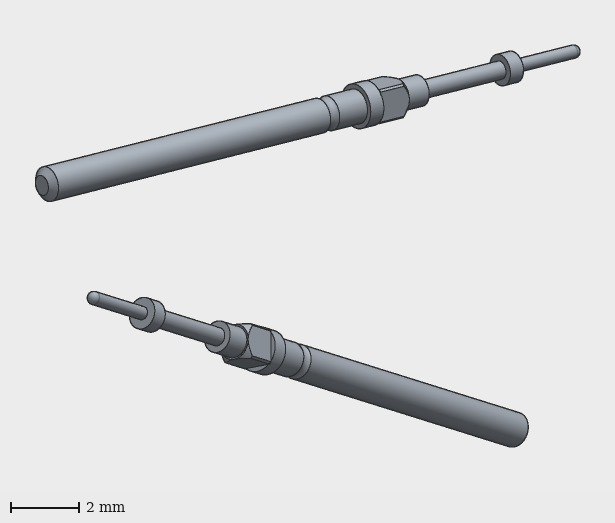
import cadquery as cq

overall_length = 20.5

groove_centre = 10.765
groove_width = 0.35
collar_start = 12.0
collar_length = 0.5
square_length = 1.1
neck_length = 0.8
ring_start = 17.5
ring_length = 0.5

barrel_radius = 1.05 / 2
groove_radius = 0.93 / 2
collar_radius = 1.35 / 2
neck_radius = 0.95 / 2
shaft_radius = 0.55 / 2
ring_radius = 0.95 / 2
tip_radius = 0.4 / 2

square_across_flats = 1.05
square_corner_radius = 1.4 / 2
square_lead_in = 0.2

tail_taper = 0.2
tail_face_radius = 0.3

collar_end = collar_start + collar_length
square_end = collar_end + square_length
neck_end = square_end + neck_length
ring_end = ring_start + ring_length


def cylinder(radius, start, end):
    """Round section about the Y axis between two stations."""
    plane = cq.Plane(origin=(0, start, 0), xDir=(1, 0, 0), normal=(0, 1, 0))
    return cq.Workplane(plane).circle(radius).extrude(end - start)


def revolved(outline):
    """Turn a closed (radius, station) outline about the Y axis."""
    return outline.close().revolve(360, (0, 0), (0, 1))


def barrel():
    """Tapered tail and long tube, with a shallow round-bottomed groove rolled around it."""
    groove_start = groove_centre - groove_width / 2
    groove_end = groove_centre + groove_width / 2
    return revolved(
        cq.Workplane("XY")
        .moveTo(0, 0)
        .lineTo(tail_face_radius, 0)
        .lineTo(barrel_radius, tail_taper)
        .lineTo(barrel_radius, groove_start)
        .threePointArc((groove_radius, groove_centre), (barrel_radius, groove_end))
        .lineTo(barrel_radius, collar_start)
        .lineTo(0, collar_start)
    )


def square_section():
    """Square with corners turned round and a conical lead-in at the neck end."""
    square = cq.Workplane("XY").box(
        square_across_flats, square_length, square_across_flats
    ).translate((0, collar_end + square_length / 2, 0))
    turned_blank = revolved(
        cq.Workplane("XY")
        .moveTo(0, collar_end)
        .lineTo(square_corner_radius, collar_end)
        .lineTo(square_corner_radius, square_end - square_lead_in)
        .lineTo(square_across_flats / 2, square_end)
        .lineTo(0, square_end)
    )
    return square.intersect(turned_blank)


def tip():
    """Slim pin ahead of the ring, ending in a hemispherical nose."""
    nose_start = overall_length - tip_radius
    return revolved(
        cq.Workplane("XY")
        .moveTo(0, ring_end)
        .lineTo(tip_radius, ring_end)
        .lineTo(tip_radius, nose_start)
        .radiusArc((0, overall_length), -tip_radius)
    )


probe = (
    barrel()
    .union(cylinder(collar_radius, collar_start, collar_end))
    .union(square_section())
    .union(cylinder(neck_radius, square_end, neck_end))
    .union(cylinder(shaft_radius, neck_end, ring_start))
    .union(cylinder(ring_radius, ring_start, ring_end))
    .union(tip())
)

result = probe.translate((0, -overall_length / 2, 0))